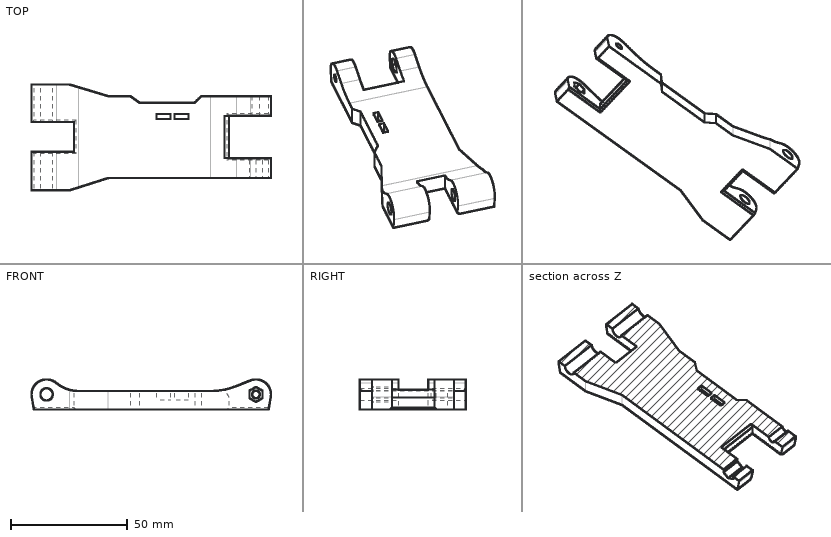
import cadquery as cq
import math

LENGTH = 103.0
WIDTH = 45.6
BODY_HEIGHT = 8.0

BOSS_RADIUS = 6.5
BOSS_AXIS_Z = BOSS_RADIUS
BOSS_TOP_Z = BOSS_AXIS_Z + BOSS_RADIUS
WIDE_AXIS_X = BOSS_RADIUS
NARROW_AXIS_X = LENGTH - BOSS_RADIUS
FOOT_INSET = 1.0
WIDE_BLEND_RADIUS = 15.0
NARROW_BLEND_RADIUS = 30.0
NARROW_BLEND_START_X = 77.0

WIDE_HOLE_DIAMETER = 5.2
NARROW_HOLE_DIAMETER = 3.2
HEX_ACROSS_FLATS = 5.6

HALF_WIDTH = WIDTH / 2
BODY_BACK_Y = 17.8
BODY_FRONT_Y = -17.5
TAPER_START_X = 16.3
TAPER_END_X = 33.0
RELIEF_START_X = 42.5
RELIEF_FLOOR_START_X = 46.4
RELIEF_FLOOR_END_X = 70.2
RELIEF_END_X = 73.1
RELIEF_FLOOR_Y = 15.0

GAP_CHAMFER = 0.9

WIDE_GAP_DEPTH = 18.2
WIDE_GAP_FRONT_Y = -6.1
WIDE_GAP_BACK_Y = 6.6

NARROW_GAP_FRONT_Y = -8.9
NARROW_GAP_BACK_Y = 9.3
NARROW_GAP_SLOPE_TOP_X = 83.0
NARROW_GAP_WALL_X = 85.0
NARROW_GAP_SLOPE_ANGLE = 60.0

POCKET_START_XS = (53.8, 61.6)
POCKET_LENGTH = 5.9
POCKET_FRONT_Y = 7.9
POCKET_WIDTH = 2.2
POCKET_DEPTH = 4.0


def on_circle(center, radius, angle):
    """Point (x, z) on a circle, with the angle in radians from +X towards +Z."""
    return (center[0] + radius * math.cos(angle), center[1] + radius * math.sin(angle))


def box(x_range, y_range, z_range):
    """Axis-aligned box given by its lower and upper limits."""
    size = [high - low for low, high in (x_range, y_range, z_range)]
    corner = (x_range[0], y_range[0], z_range[0])
    return cq.Workplane("XY").box(*size, centered=False).translate(corner)


def side_profile():
    """Side silhouette of the arm, swept across the full width."""
    wide_axis = (WIDE_AXIS_X, BOSS_AXIS_Z)
    narrow_axis = (NARROW_AXIS_X, BOSS_AXIS_Z)

    foot_dx = BOSS_RADIUS - FOOT_INSET
    foot_distance = math.hypot(foot_dx, BOSS_AXIS_Z)
    narrow_flank = math.acos(BOSS_RADIUS / foot_distance) - math.atan2(BOSS_AXIS_Z, foot_dx)
    wide_flank = math.pi - narrow_flank

    reach = BOSS_RADIUS + WIDE_BLEND_RADIUS
    wide_blend_z = BODY_HEIGHT + WIDE_BLEND_RADIUS
    wide_join = math.asin((wide_blend_z - BOSS_AXIS_Z) / reach)
    wide_blend = (WIDE_AXIS_X + reach * math.cos(wide_join), wide_blend_z)
    wide_blend_mid = (wide_join + math.pi + 1.5 * math.pi) / 2

    narrow_blend = (NARROW_BLEND_START_X, BODY_HEIGHT + NARROW_BLEND_RADIUS)
    center_dx = narrow_axis[0] - narrow_blend[0]
    center_dz = narrow_axis[1] - narrow_blend[1]
    center_distance = math.hypot(center_dx, center_dz)
    ramp_offset = math.acos((BOSS_RADIUS + NARROW_BLEND_RADIUS) / center_distance)
    ramp_start = math.atan2(center_dz, center_dx) - ramp_offset
    ramp_end = ramp_start + math.pi
    narrow_blend_mid = (ramp_start - math.pi / 2) / 2

    profile = (
        cq.Workplane("XZ", origin=(0, HALF_WIDTH, 0))
        .moveTo(FOOT_INSET, 0)
        .lineTo(*on_circle(wide_axis, BOSS_RADIUS, wide_flank))
        .threePointArc((WIDE_AXIS_X, BOSS_TOP_Z), on_circle(wide_axis, BOSS_RADIUS, wide_join))
        .threePointArc(
            on_circle(wide_blend, WIDE_BLEND_RADIUS, wide_blend_mid),
            (wide_blend[0], BODY_HEIGHT),
        )
        .lineTo(NARROW_BLEND_START_X, BODY_HEIGHT)
        .threePointArc(
            on_circle(narrow_blend, NARROW_BLEND_RADIUS, narrow_blend_mid),
            on_circle(narrow_blend, NARROW_BLEND_RADIUS, ramp_start),
        )
        .lineTo(*on_circle(narrow_axis, BOSS_RADIUS, ramp_end))
        .threePointArc(
            (NARROW_AXIS_X, BOSS_TOP_Z),
            on_circle(narrow_axis, BOSS_RADIUS, narrow_flank),
        )
        .lineTo(LENGTH - FOOT_INSET, 0)
        .close()
    )
    return profile.extrude(WIDTH)


def plan_prism():
    """Plan outline: wide end, tapers, body and the shallow relief in the back edge."""
    outline = [
        (0, -HALF_WIDTH),
        (TAPER_START_X, -HALF_WIDTH),
        (TAPER_END_X, BODY_FRONT_Y),
        (LENGTH, BODY_FRONT_Y),
        (LENGTH, BODY_BACK_Y),
        (RELIEF_END_X, BODY_BACK_Y),
        (RELIEF_FLOOR_END_X, RELIEF_FLOOR_Y),
        (RELIEF_FLOOR_START_X, RELIEF_FLOOR_Y),
        (RELIEF_START_X, BODY_BACK_Y),
        (TAPER_END_X, BODY_BACK_Y),
        (TAPER_START_X, HALF_WIDTH),
        (0, HALF_WIDTH),
    ]
    return cq.Workplane("XY").polyline(outline).close().extrude(BOSS_TOP_Z)


def bottom_flare(x_range, y_range):
    """Cutter that chamfers the bottom edges of a gap with the given limits."""
    length = x_range[1] - x_range[0]
    width = y_range[1] - y_range[0]
    return (
        cq.Workplane("XY")
        .center(sum(x_range) / 2, sum(y_range) / 2)
        .rect(length + 2 * GAP_CHAMFER, width + 2 * GAP_CHAMFER)
        .extrude(GAP_CHAMFER, taper=45)
    )


def wide_gap():
    """Cutter for the gap between the wide bosses, flared at the bottom."""
    x_range = (0, WIDE_GAP_DEPTH)
    y_range = (WIDE_GAP_FRONT_Y, WIDE_GAP_BACK_Y)
    return box(x_range, y_range, (0, BOSS_TOP_Z)).union(bottom_flare(x_range, y_range))


def narrow_gap():
    """Cutter for the gap between the narrow bosses, flared at the bottom."""
    edge_dx = NARROW_GAP_SLOPE_TOP_X - NARROW_BLEND_START_X
    edge_z = BODY_HEIGHT + NARROW_BLEND_RADIUS - math.sqrt(NARROW_BLEND_RADIUS**2 - edge_dx**2)
    slope_run = NARROW_GAP_WALL_X - NARROW_GAP_SLOPE_TOP_X
    slope_drop = slope_run * math.tan(math.radians(NARROW_GAP_SLOPE_ANGLE))
    section = [
        (NARROW_GAP_WALL_X, 0),
        (LENGTH, 0),
        (LENGTH, BOSS_TOP_Z),
        (NARROW_GAP_SLOPE_TOP_X, BOSS_TOP_Z),
        (NARROW_GAP_SLOPE_TOP_X, edge_z),
        (NARROW_GAP_WALL_X, edge_z - slope_drop),
    ]
    gap = (
        cq.Workplane("XZ", origin=(0, NARROW_GAP_BACK_Y, 0))
        .polyline(section)
        .close()
        .extrude(NARROW_GAP_BACK_Y - NARROW_GAP_FRONT_Y)
    )
    flare = bottom_flare((NARROW_GAP_WALL_X, LENGTH), (NARROW_GAP_FRONT_Y, NARROW_GAP_BACK_Y))
    return gap.union(flare)


def pivot_hole(axis_x, diameter):
    """Cutter for a round hole along Y through the full width."""
    return (
        cq.Workplane("XZ", origin=(axis_x, HALF_WIDTH, BOSS_AXIS_Z))
        .circle(diameter / 2)
        .extrude(WIDTH)
    )


def hex_hole():
    """Cutter for the hexagonal hole through the front narrow boss, corners up and down."""
    across_corners = HEX_ACROSS_FLATS / math.cos(math.pi / 6)
    return (
        cq.Workplane("XZ", origin=(NARROW_AXIS_X, NARROW_GAP_FRONT_Y, BOSS_AXIS_Z))
        .transformed(rotate=(0, 0, 90))
        .polygon(6, across_corners)
        .extrude(NARROW_GAP_FRONT_Y - BODY_FRONT_Y)
    )


def top_pocket(start_x):
    """Cutter for one rectangular pocket in the top face."""
    return box(
        (start_x, start_x + POCKET_LENGTH),
        (POCKET_FRONT_Y, POCKET_FRONT_Y + POCKET_WIDTH),
        (BODY_HEIGHT - POCKET_DEPTH, BODY_HEIGHT),
    )


arm = side_profile().intersect(plan_prism())
arm = arm.cut(wide_gap()).cut(narrow_gap())
arm = arm.cut(pivot_hole(WIDE_AXIS_X, WIDE_HOLE_DIAMETER))
arm = arm.cut(pivot_hole(NARROW_AXIS_X, NARROW_HOLE_DIAMETER))
arm = arm.cut(hex_hole())
for pocket_x in POCKET_START_XS:
    arm = arm.cut(top_pocket(pocket_x))

result = arm